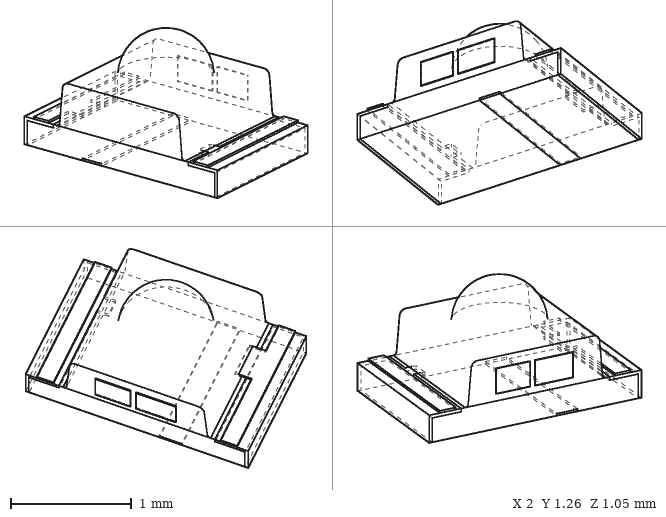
import cadquery as cq
import math

length = 2.0
width = 1.25
base_height = 0.25

terminal_thickness = 0.03
terminal_flange = 0.3
tab_front = -0.348
terminal_tab_width = 0.152
mask_tab_width = 0.305

mask_height = 0.02
mask_setback = 0.1
mask_strip_width = 0.15

housing_height = 0.4
housing_half_top = 0.6
side_draft = 5.0
housing_top_radius = 0.06
housing_foot_radius = 0.03
dome_radius = 0.4
dome_foot_radius = 0.03

pad_height = 0.01
pad_bottom = 0.318
pad_top = 0.545
pad_spans = [(-0.352, 0.005), (0.055, 0.372)]

mark_left = -0.4
mark_width = 0.2
mark_depth = 0.02

half_length = length / 2
rear = width / 2
front = -rear
housing_top = base_height + housing_height
housing_half_base = housing_half_top + housing_height * math.tan(math.radians(side_draft))
tab_end = housing_half_top


def box(x_range, y_range, z_range):
    """Box between two limits along each axis."""
    (x0, x1), (y0, y1), (z0, z1) = x_range, y_range, z_range
    return cq.Workplane("XY").box(x1 - x0, y1 - y0, z1 - z0, centered=False).translate((x0, y0, z0))


def make_terminal(side):
    """Angle wrapping the end face and top edge of the substrate; side is -1 or +1."""
    flange_end = half_length - terminal_flange
    flange_bottom = base_height - terminal_thickness
    outline = [
        (half_length, 0),
        (half_length, base_height),
        (flange_end, base_height),
        (flange_end, flange_bottom),
        (half_length - terminal_thickness, flange_bottom),
        (half_length - terminal_thickness, 0),
    ]
    outline = [(side * x, z) for x, z in outline]
    return cq.Workplane("XZ", origin=(0, rear, 0)).polyline(outline).close().extrude(width)


def make_right_terminal():
    """Right terminal, with a flush tab running under the housing."""
    tab = box(
        (tab_end, half_length - terminal_flange),
        (tab_front, tab_front + terminal_tab_width),
        (base_height - terminal_thickness, base_height),
    )
    return make_terminal(1).union(tab)


def make_mask_strip(side):
    """Thin strip lying along a terminal; side is -1 or +1."""
    outer = side * (half_length - mask_setback)
    inner = outer - side * mask_strip_width
    x_range = (min(outer, inner), max(outer, inner))
    return box(x_range, (front, rear), (base_height, base_height + mask_height))


def make_left_mask():
    """Left mask strip, with a tab reaching into the foot of the housing."""
    tab = box(
        (mask_setback + mask_strip_width - half_length, -tab_end),
        (tab_front, tab_front + mask_tab_width),
        (base_height, base_height + mask_height),
    )
    return make_mask_strip(-1).union(tab)


def make_mark():
    """Marking strip flush with the underside."""
    return box((mark_left, mark_left + mark_width), (front, rear), (0, mark_depth))


def make_substrate(fitted_bodies):
    """Block filling the space between the bodies let into it."""
    block = box((-half_length, half_length), (front, rear), (0, base_height))
    for body in fitted_bodies:
        block = block.cut(body)
    return block


def make_housing_block():
    """Block with sloped, rounded sides and flared feet."""
    draft = math.radians(side_draft)
    foot_reach = housing_foot_radius * math.tan((math.pi / 2 - draft) / 2)
    toe = housing_half_base + foot_reach
    heel = (housing_half_base - foot_reach * math.sin(draft), base_height + foot_reach * math.cos(draft))
    bisector = math.radians(225 + side_draft / 2)
    mid = (
        toe + housing_foot_radius * math.cos(bisector),
        base_height + housing_foot_radius * (1 + math.sin(bisector)),
    )
    profile = (
        cq.Workplane("XZ", origin=(0, rear, 0))
        .moveTo(-toe, base_height)
        .lineTo(toe, base_height)
        .threePointArc(mid, heel)
        .lineTo(housing_half_top, housing_top)
        .lineTo(-housing_half_top, housing_top)
        .lineTo(-heel[0], heel[1])
        .threePointArc((-mid[0], mid[1]), (-toe, base_height))
        .close()
    )
    return profile.extrude(width).faces(">Z").edges("|Y").fillet(housing_top_radius)


def make_dome():
    """Hemispherical lens with a flared foot, centred on the housing top."""
    fillet_x = math.sqrt((dome_radius + dome_foot_radius) ** 2 - dome_foot_radius ** 2)
    tangent_scale = dome_radius / (dome_radius + dome_foot_radius)
    tangent = (fillet_x * tangent_scale, housing_top + dome_foot_radius * tangent_scale)
    tangent_angle = math.atan2(dome_foot_radius, fillet_x)
    foot_angle = (3 * math.pi / 2 + math.pi + tangent_angle) / 2
    foot_mid = (
        fillet_x + dome_foot_radius * math.cos(foot_angle),
        housing_top + dome_foot_radius * (1 + math.sin(foot_angle)),
    )
    dome_angle = (tangent_angle + math.pi / 2) / 2
    dome_mid = (dome_radius * math.cos(dome_angle), housing_top + dome_radius * math.sin(dome_angle))
    root = housing_top - dome_foot_radius
    return (
        cq.Workplane("XZ")
        .moveTo(0, root)
        .lineTo(fillet_x, root)
        .lineTo(fillet_x, housing_top)
        .threePointArc(foot_mid, tangent)
        .threePointArc(dome_mid, (0, housing_top + dome_radius))
        .close()
        .revolve(360, (0, 0, 0), (0, 1, 0))
    )


def make_housing(left_mask):
    """Housing with its lens dome and rear pads, recessed for the left mask tab."""
    housing = make_housing_block().union(make_dome())
    for x_range in pad_spans:
        housing = housing.union(box(x_range, (rear, rear + pad_height), (pad_bottom, pad_top)))
    return housing.cut(left_mask)


left_terminal = make_terminal(-1)
right_terminal = make_right_terminal()
left_mask = make_left_mask()
right_mask = make_mask_strip(1)
mark = make_mark()
substrate = make_substrate([left_terminal, right_terminal, mark])
housing = make_housing(left_mask)

result = cq.Compound.makeCompound([
    substrate.val(),
    left_terminal.val(),
    right_terminal.val(),
    left_mask.val(),
    right_mask.val(),
    mark.val(),
    housing.val(),
])